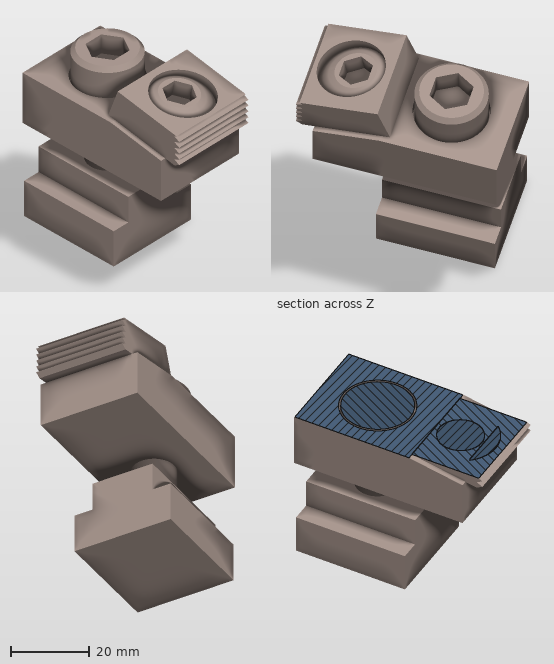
import cadquery as cq
import math

body_length = 49.1
body_width = 28.6
body_bottom = 29.15
body_top = 44.9
ramp_start = 31.3
ramp_angle = 10
ramp_slope = math.tan(math.radians(ramp_angle))

clamp_x = 16.35
cap_diameter = 19.0
cap_height = 12.0
cap_top = 53.7
cap_chamfer = 1.25
cap_bore_diameter = 19.9
cap_socket_flats = 10.05
cap_socket_depth = 6.0
shank_diameter = 11.95
cap_seat = cap_top - cap_height

nut_length = 31.75
nut_start = 0.5
nut_base_width = 28.45
nut_base_height = 11.1
nut_neck_width = 17.7
nut_height = 19.15

jaw_width = 25.5
jaw_heel_x = 28.9
jaw_top_x = 32.25
jaw_top = 54.35
tooth_tip_x = 54.05
tooth_depth = 1.7
tooth_pitch = 1.82
tooth_count = 5
tooth_root_x = tooth_tip_x - tooth_depth
jaw_bore_diameter = 17.95
jaw_bore_x = 43.1

button_x = 41.95
button_sink = 0.5
button_radius = 10.05
button_flat_radius = 5.55
button_dome_height = 3.25
button_height = 6.6
button_socket_flats = 7.9
button_socket_depth = 5.0
button_length = 19.0


def ramp_height(x):
    """Height of the ramp plane at x."""
    return body_top - (x - ramp_start) * ramp_slope


def jaw_top_height(x):
    """Height of the jaw's top plane at x."""
    return jaw_top - (x - jaw_top_x) * ramp_slope


def jaw_plane(x):
    """Plane lying on the top of the jaw, its origin at x."""
    tilt = math.radians(ramp_angle)
    return cq.Plane(
        origin=(x, 0, jaw_top_height(x)),
        xDir=(math.cos(tilt), 0, -math.sin(tilt)),
        normal=(math.sin(tilt), 0, math.cos(tilt)),
    )


def extrude_profile(points, width):
    """Prism of an XZ outline, centred on Y = 0."""
    return cq.Workplane("XZ").polyline(points).close().extrude(width / 2, both=True)


def hex_socket(plane, flats, depth):
    """Hexagonal recess below the plane, with two flats facing along its X."""
    corners = flats / math.cos(math.pi / 6)
    return cq.Workplane(plane).transformed(rotate=(0, 0, 90)).polygon(6, corners).extrude(-depth)


def make_cap_screw():
    head = (
        cq.Workplane("XY", origin=(clamp_x, 0, cap_seat))
        .circle(cap_diameter / 2)
        .extrude(cap_height)
        .faces(">Z")
        .chamfer(cap_chamfer)
    )
    shank = cq.Workplane("XY", origin=(clamp_x, 0, 0)).circle(shank_diameter / 2).extrude(cap_seat)
    head_plane = cq.Plane(origin=(clamp_x, 0, cap_top))
    return head.union(shank).cut(hex_socket(head_plane, cap_socket_flats, cap_socket_depth))


def make_button_screw():
    seat = jaw_plane(button_x)
    head_plane = cq.Plane(seat.toWorldCoords((0, 0, -button_sink)), seat.xDir, seat.zDir)
    dome_center = (
        button_radius**2 + button_dome_height**2 - button_flat_radius**2
    ) / (2 * button_dome_height)
    dome_radius = math.hypot(button_flat_radius, dome_center)
    middle_radius = (button_flat_radius + button_radius) / 2
    middle_drop = dome_center - math.sqrt(dome_radius**2 - middle_radius**2)
    section_plane = cq.Plane(head_plane.origin, head_plane.xDir, -head_plane.yDir)
    screw = (
        cq.Workplane(section_plane)
        .lineTo(button_flat_radius, 0)
        .threePointArc((middle_radius, -middle_drop), (button_radius, -button_dome_height))
        .lineTo(button_radius, -button_height)
        .lineTo(shank_diameter / 2, -button_height)
        .lineTo(shank_diameter / 2, -button_length)
        .lineTo(0, -button_length)
        .close()
        .revolve(360, (0, 0, 0), (0, 1, 0))
    )
    return screw.cut(hex_socket(head_plane, button_socket_flats, button_socket_depth))


def make_clamp_body(cap_screw, button_screw):
    block = extrude_profile(
        [
            (0, body_bottom),
            (body_length, body_bottom),
            (body_length, ramp_height(body_length)),
            (ramp_start, body_top),
            (0, body_top),
        ],
        body_width,
    )
    bore = (
        cq.Workplane("XY", origin=(clamp_x, 0, cap_seat))
        .circle(cap_bore_diameter / 2)
        .extrude(body_top - cap_seat)
    )
    return block.cut(bore).cut(cap_screw).cut(button_screw)


def make_t_nut(cap_screw):
    center_x = nut_start + nut_length / 2
    nut_plane = cq.Workplane("XY", origin=(center_x, 0, 0))
    base = nut_plane.rect(nut_length, nut_base_width).extrude(nut_base_height)
    neck = nut_plane.rect(nut_length, nut_neck_width).extrude(nut_height)
    return base.union(neck).cut(cap_screw)


def make_jaw(button_screw):
    root_bottom = ramp_height(tooth_root_x)
    outline = [(jaw_top_x, jaw_top), (jaw_heel_x, ramp_height(jaw_heel_x)), (tooth_root_x, root_bottom)]
    for tooth in range(tooth_count):
        root = root_bottom + tooth * tooth_pitch
        outline.append((tooth_tip_x, root + tooth_pitch / 2))
        outline.append((tooth_root_x, root + tooth_pitch))
    last_root = root_bottom + tooth_count * tooth_pitch
    flank_slope = tooth_pitch / 2 / tooth_depth
    cut_depth = (jaw_top_height(tooth_root_x) - last_root) / (flank_slope + ramp_slope)
    cut_x = tooth_root_x + cut_depth
    outline.append((cut_x, jaw_top_height(cut_x)))
    bore_depth = button_sink + button_height
    bore = cq.Workplane(jaw_plane(jaw_bore_x)).circle(jaw_bore_diameter / 2).extrude(-bore_depth)
    return extrude_profile(outline, jaw_width).cut(bore).cut(button_screw)


cap_screw = make_cap_screw()
button_screw = make_button_screw()
clamp_body = make_clamp_body(cap_screw, button_screw)
t_nut = make_t_nut(cap_screw)
jaw = make_jaw(button_screw)

result = cq.Compound.makeCompound(
    [clamp_body.val(), cap_screw.val(), t_nut.val(), jaw.val(), button_screw.val()]
)